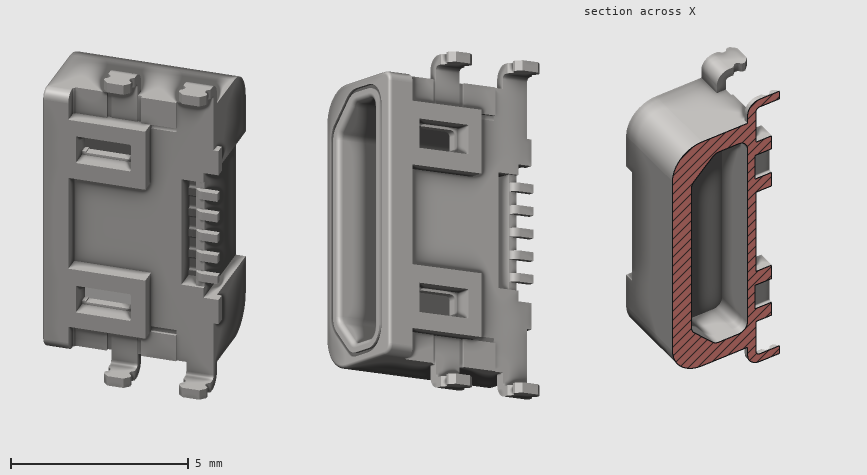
import cadquery as cq
import math

EPS = 0.01

shell_length = 4.93
shell_depth = 3.34
shell_half = 4.1
back_radius = 1.0
mount_radius = 0.3
mouth_rounding = 0.1

core_y_min = 1.11
core_y_max = 2.4
core_half = 3.18
core_chamfer = 0.62
cavity_offset = 0.29
lead_in_radius = 0.14
groove_inner_offset = 0.58
groove_outer_offset = 0.69
groove_depth = 0.1
cavity_depth = 3.84

plate_y = 0.52
sheet = 0.3
pad_y = 0.46
slot_y = 0.56
frame_length = 0.78
panel_end = 3.07
panel_z_inner = 1.44
panel_z_outer = 3.28
pad_end = 3.83
pad_fillet = 0.06
plate_roll_z = 3.14
plate_roll_radius = 0.3

window_start = 1.0
window_end = 2.64
window_z = 2.37
window_height = 0.84
window_corner = 0.04
inner_end = 2.53
inner_height = 0.69
inner_corner = 0.14
neck_length = 0.12
neck_step = 0.04

front_leg_width = 0.79
rear_leg_width = 0.82
front_leg_x = 1.88
rear_leg_x = shell_length - rear_leg_width
leg_slot_side = 0.12
leg_reach = 4.8
leg_tip_y = -0.29
bend_inner = 0.12
bend_outer = bend_inner + sheet
tip_chamfer = 0.15
notch_depth = 0.11
notch_y = 0.12
notch_half_mouth = 0.14
notch_half_floor = 0.1
notch_lip = 0.06

rear_cut_x = 4.64
rear_cut_half = 1.98
tab_end = 5.08
tab_height = 0.77

recess_start = 3.97
recess_half = 1.67
recess_floor_y = 1.15
ledge_start = 4.32
ledge_y = 0.6
pin_pitch = 0.65
pin_count = 5
pin_width = 0.25
pin_y = 0.42
pin_thickness = 0.2
pin_start = 4.38
pin_bend = rear_cut_x - pin_start
channel_flare = 0.09


def block(x0, x1, y0, y1, z0, z1):
    """Box between two corners; each pair may come in either order."""
    size = (abs(x1 - x0), abs(y1 - y0), abs(z1 - z0))
    centre = ((x0 + x1) / 2, (y0 + y1) / 2, (z0 + z1) / 2)
    return cq.Workplane("XY").box(*size).translate(centre)


def mouth_prism(offset, length):
    """Prism on the mouth plane whose outline is the core outline grown by an offset."""
    shoulder_y = core_y_max - core_chamfer
    shoulder_z = core_half - core_chamfer
    core = [
        (core_y_min, core_half),
        (shoulder_y, core_half),
        (core_y_max, shoulder_z),
        (core_y_max, -shoulder_z),
        (shoulder_y, -core_half),
        (core_y_min, -core_half),
    ]
    return cq.Workplane("YZ").polyline(core).close().offset2D(offset).extrude(length)


def make_shell():
    shell = block(0, shell_length, 0, shell_depth, -shell_half, shell_half)
    shell = shell.edges("|X and >Y").fillet(back_radius)
    shell = shell.edges("|X and <Y").fillet(mount_radius)
    shell = shell.faces("<X").edges().fillet(mouth_rounding)
    shell = shell.cut(mouth_prism(cavity_offset, cavity_depth))
    cavity_rim = cq.selectors.BoxSelector(
        (-EPS, core_y_min - cavity_offset - EPS, -core_half - cavity_offset - EPS),
        (EPS, core_y_max + cavity_offset + EPS, core_half + cavity_offset + EPS),
        boundingbox=True,
    )
    shell = shell.edges(cavity_rim).fillet(lead_in_radius)
    groove = mouth_prism(groove_outer_offset, groove_depth)
    groove = groove.cut(mouth_prism(groove_inner_offset, groove_depth))
    return shell.cut(groove)


def window_cutter():
    """Upper window: a rectangle through the panel, then a smaller opening into the cavity."""
    outer_half = window_height / 2
    outer = block(window_start, window_end, 0, slot_y, window_z - outer_half, window_z + outer_half)
    outer = outer.edges("|Y and >X").fillet(window_corner)
    cavity_side = core_y_min
    half = inner_height / 2
    neck_end = window_start + neck_length
    inner = block(neck_end, inner_end, 0, cavity_side, window_z - half, window_z + half)
    inner = inner.edges("|Y and >X").fillet(inner_corner)
    neck_half = half - neck_step
    neck = block(window_start, neck_end + EPS, 0, cavity_side, window_z - neck_half, window_z + neck_half)
    return outer.union(inner).union(neck)


def pad():
    """Low plastic pad beside the upper panel, with a hollow fillet up to the frame."""
    raised = block(frame_length - EPS, pad_end, pad_y, slot_y + EPS, panel_z_outer - EPS, shell_half)
    fillet = (
        cq.Workplane("XY")
        .workplane(offset=panel_z_outer)
        .moveTo(frame_length, pad_y)
        .lineTo(frame_length, pad_y - pad_fillet)
        .radiusArc((frame_length + pad_fillet, pad_y), -pad_fillet)
        .close()
        .extrude(shell_half - panel_z_outer)
    )
    return raised.union(fillet)


def plate_roll_cutter():
    """Space above the plate edge where it starts to roll over beside the upper pad."""
    width = panel_z_outer - plate_roll_z
    drop = plate_roll_radius - math.sqrt(plate_roll_radius**2 - width**2)
    return (
        cq.Workplane("YZ")
        .workplane(offset=panel_end)
        .moveTo(plate_y, plate_roll_z)
        .radiusArc((plate_y + drop, panel_z_outer), -plate_roll_radius)
        .lineTo(pad_y, panel_z_outer)
        .lineTo(pad_y, plate_roll_z)
        .close()
        .extrude(pad_end - panel_end)
    )


def leg(x_start, width):
    """Upper leg: sheet that leaves the side and bends toward the mounting side."""
    inner_y = plate_y + sheet
    foot_z = leg_reach - sheet
    profile = (
        cq.Workplane("YZ")
        .moveTo(plate_y, panel_z_outer)
        .lineTo(plate_y, foot_z - bend_inner)
        .radiusArc((plate_y - bend_inner, foot_z), -bend_inner)
        .lineTo(leg_tip_y, foot_z)
        .lineTo(leg_tip_y, leg_reach)
        .lineTo(inner_y - bend_outer, leg_reach)
        .radiusArc((inner_y, leg_reach - bend_outer), bend_outer)
        .lineTo(inner_y, panel_z_outer)
        .close()
    )
    bent = profile.extrude(width).translate((x_start, 0, 0))
    bent = bent.edges("|Z and <Y").chamfer(tip_chamfer)
    for edge_x, inward in ((x_start, 1), (x_start + width, -1)):
        lip_x = edge_x + inward * notch_lip
        floor_x = edge_x + inward * notch_depth
        notch = (
            cq.Workplane("XY")
            .moveTo(edge_x, notch_y + notch_half_mouth)
            .lineTo(lip_x, notch_y + notch_half_floor)
            .threePointArc((floor_x, notch_y), (lip_x, notch_y - notch_half_floor))
            .lineTo(edge_x, notch_y - notch_half_mouth)
            .close()
            .extrude(leg_reach)
        )
        bent = bent.cut(notch)
    return bent


def channel_cutter(z):
    """Flared channel in the recess floor under one contact."""
    floor_half = pin_width / 2
    top_half = floor_half + channel_flare
    return (
        cq.Workplane("YZ")
        .workplane(offset=recess_start)
        .moveTo(recess_floor_y, z - top_half)
        .radiusArc((recess_floor_y + channel_flare, z - floor_half), -channel_flare)
        .lineTo(recess_floor_y + channel_flare, z + floor_half)
        .radiusArc((recess_floor_y, z + top_half), -channel_flare)
        .close()
        .extrude(ledge_start - recess_start)
    )


def pin(z):
    """Contact that leaves the ledge through a bend and runs out past the rear edge."""
    inner_y = pin_y + pin_thickness
    root_y = pin_y + pin_bend
    return (
        cq.Workplane("XY")
        .workplane(offset=z - pin_width / 2)
        .moveTo(pin_start, root_y)
        .radiusArc((rear_cut_x, pin_y), -pin_bend)
        .lineTo(tab_end, pin_y)
        .lineTo(tab_end, inner_y)
        .lineTo(rear_cut_x, inner_y)
        .lineTo(rear_cut_x, root_y)
        .close()
        .extrude(pin_width)
    )


def mirrored(upper_feature):
    """The upper feature together with its mirror image in the lower half."""
    return upper_feature.union(upper_feature.mirror("XY"))


body = make_shell()

body = body.cut(block(frame_length, shell_length, 0, plate_y, -shell_half, shell_half))
panel = block(frame_length - EPS, panel_end, 0, plate_y + EPS, panel_z_inner, panel_z_outer)
body = body.union(mirrored(panel)).union(mirrored(pad()))
leg_slot = block(
    front_leg_x - leg_slot_side,
    front_leg_x + front_leg_width + leg_slot_side,
    0,
    slot_y,
    panel_z_outer,
    shell_half,
)
for cutter in (plate_roll_cutter(), leg_slot, window_cutter()):
    body = body.cut(mirrored(cutter))

body = body.cut(block(rear_cut_x, shell_length, 0, shell_depth, -rear_cut_half, rear_cut_half))
tab = block(
    shell_length - EPS, tab_end, plate_y, plate_y + sheet, rear_cut_half, rear_cut_half + tab_height
)
body = body.union(mirrored(tab))

trough = (
    cq.Workplane("XY")
    .workplane(offset=-recess_half)
    .moveTo(recess_start, 0)
    .lineTo(recess_start, recess_floor_y)
    .lineTo(ledge_start, recess_floor_y)
    .lineTo(pin_start, ledge_y)
    .lineTo(rear_cut_x, ledge_y)
    .lineTo(rear_cut_x, 0)
    .close()
    .extrude(2 * recess_half)
)
body = body.cut(trough)

for index in range(pin_count):
    pin_z = (index - (pin_count - 1) / 2) * pin_pitch
    body = body.cut(channel_cutter(pin_z)).union(pin(pin_z))

for leg_x, leg_width in ((front_leg_x, front_leg_width), (rear_leg_x, rear_leg_width)):
    body = body.union(mirrored(leg(leg_x, leg_width)))

result = body